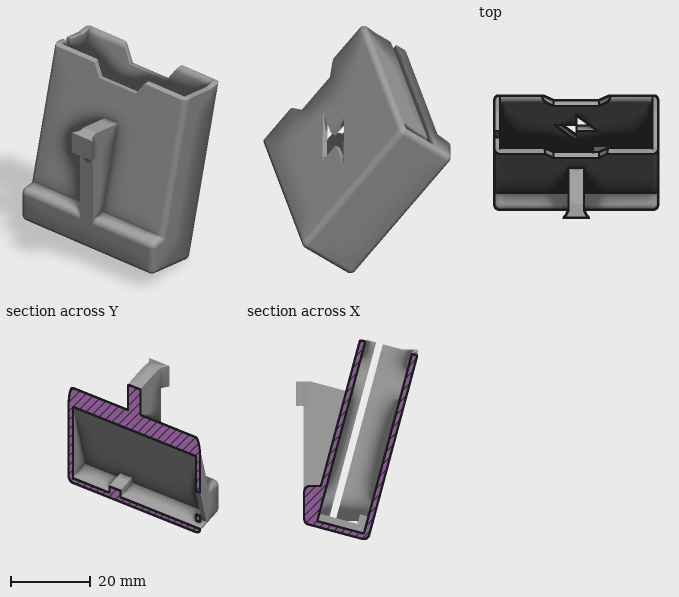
import cadquery as cq
import math

lean_angle = 15.0
width = 41.3
body_depth = 15.0
wall = 1.5
round_radius = 1.5
total_height = 50.05

ledge_height = 13.45
rim_height = 48.6
rear_flat_height = 47.65
rear_limit_y = 28.75
foot_y = 16.05

notch_floor = 44.65
notch_floor_width = 11.4
notch_rim_width = 15.5

rib_width = 4.0
rib_top = 39.65
rib_flat = 1.6
hook_width = 6.4
hook_depth = 1.95
hook_height = 6.15
hook_flare_mid = (2.5, -1.05)

slot_rear = -9.05
slot_front = -10.8
flap_bottom = 3.35
flap_bend = -6.25
flap_rise = (-2.4, 4.3)
flap_rear_height = 3.75

rest_left = 4.25
rest_right = 7.8
rest_height = 3.35
rest_back_height = 5.8
rest_back_front = -3.55

bolt_center = 23.1
bolt_half_width = 5.45
bolt_half_height = 12.35
bolt_step = 2.95

lean = math.radians(lean_angle)
slope = math.tan(lean)
foot_z = round_radius * (1 - math.cos(lean) - math.sin(lean))
margin = 10.0


def leaned(depth, height):
    """World (Y, Z) of a point in the leaning frame; the walls lie along height."""
    y = foot_y + depth * math.cos(lean) + height * math.sin(lean)
    z = foot_z - depth * math.sin(lean) + height * math.cos(lean)
    return y, z


def lean_solid(solid):
    """Move a solid built upright, rear foot edge on the X axis, into place."""
    return solid.rotate((0, 0, 0), (1, 0, 0), -lean_angle).translate((0, foot_y, foot_z))


def across(points, x_start, x_end):
    """Extrude a YZ outline from x_start to x_end."""
    return cq.Workplane("YZ", origin=(x_start, 0, 0)).polyline(points).close().extrude(x_end - x_start)


def through_depth(points, y_front, y_rear):
    """Extrude an XZ outline from y_front to y_rear."""
    return cq.Workplane("XZ", origin=(0, y_rear, 0)).polyline(points).close().extrude(y_rear - y_front)


def upright_box(x_range, y_range, z_range):
    sizes = [high - low for low, high in (x_range, y_range, z_range)]
    box = cq.Workplane("XY").box(*sizes, centered=False)
    return box.translate((x_range[0], y_range[0], z_range[0]))


def front_wall_y(z):
    """Y of the leaning front face at height z."""
    y, base_z = leaned(-body_depth, 0)
    return y + (z - base_z) * slope


def rounded_body():
    """Leaning block with an upright foot ledge, left over-tall for trimming."""
    tall = rim_height + margin
    foot_front = (0, foot_z + foot_y * slope)
    ledge_front = (0, ledge_height)
    ledge_inner = (front_wall_y(ledge_height), ledge_height)
    top_front = leaned(-body_depth, tall)
    top_rear = leaned(0, tall)
    outline = [(foot_y, foot_z), foot_front, ledge_front, ledge_inner, top_front, top_rear]
    body = across(outline, -width / 2, width / 2)
    nook = (ledge_inner[0], ledge_height)

    def is_rounded(edge):
        middle = edge.Center()
        in_nook = math.dist((middle.y, middle.z), nook) < wall / 2
        return middle.z < total_height and not in_nook

    edges = [edge for edge in body.edges().vals() if is_rounded(edge)]
    return body.newObject(edges).fillet(round_radius)


def trim_outline():
    """Side outline of the rim: front flat, leaning run, rear flat and upright rear limit."""
    y_rim, z_rim = leaned(0, rim_height)
    flat_front_y = y_rim - (total_height - z_rim) / slope
    flat_rear_y = y_rim - (rear_flat_height - z_rim) / slope
    return [
        (-margin, -margin),
        (-margin, total_height),
        (flat_front_y, total_height),
        (flat_rear_y, rear_flat_height),
        (rear_limit_y, rear_flat_height),
        (rear_limit_y, -margin),
    ]


def cavity():
    inner = width / 2 - wall
    return lean_solid(upright_box((-inner, inner), (wall - body_depth, -wall), (wall, rim_height + margin)))


def rear_rim_round():
    """Rounding from the rear flat down to the inner rear wall, tangent to both."""
    reach = (rear_limit_y - foot_y) * math.cos(lean) - (rear_flat_height - foot_z) * math.sin(lean)
    radius = (reach + wall) / (1 - math.sin(lean))
    center_z = rear_flat_height - radius
    swept = math.pi / 2 - lean

    def on_arc(angle):
        return rear_limit_y - radius * math.sin(angle), center_z + radius * math.cos(angle)

    inner = width / 2 - wall
    return (
        cq.Workplane("YZ", origin=(-inner, 0, 0))
        .moveTo(rear_limit_y, rear_flat_height)
        .threePointArc(on_arc(swept / 2), on_arc(swept))
        .lineTo(on_arc(swept)[0], rear_flat_height)
        .close()
        .extrude(2 * inner)
    )


def rim_notch():
    """Tapered notch through the front and rear walls."""
    half_floor = notch_floor_width / 2
    half_rim = notch_rim_width / 2
    rim_front_height = (total_height - foot_z - body_depth * math.sin(lean)) / math.cos(lean)
    flank_run = (half_rim - half_floor) / (rim_front_height - notch_floor)
    top = rim_height + margin
    half_top = half_floor + flank_run * (top - notch_floor)
    points = [(-half_floor, notch_floor), (half_floor, notch_floor), (half_top, top), (-half_top, top)]
    return lean_solid(through_depth(points, -body_depth - margin, margin))


def side_slot():
    """Long slot in the -X wall, widening under the free lower edge of the wall."""
    points = [
        (slot_front, wall),
        (slot_front, rim_height + margin),
        (slot_rear, rim_height + margin),
        (slot_rear, flap_bottom),
        (flap_bend, flap_bottom),
        flap_rise,
        (-wall, flap_rear_height),
        (-wall, wall),
    ]
    return lean_solid(across(points, -width / 2 - wall, -width / 2 + wall))


def inner_rest():
    """L-shaped rest on the cavity floor, with a low step against the rear wall."""
    points = [
        (-wall, wall),
        (-wall, rest_back_height),
        (rest_back_front, rest_back_height),
        (rest_back_front, rest_height),
        (wall - body_depth, rest_height),
        (wall - body_depth, wall),
    ]
    return lean_solid(across(points, rest_left, rest_right))


def bolt_window():
    """Lightning-bolt opening through the rear wall."""
    upper = [
        (-bolt_half_width, bolt_center + bolt_step),
        (0, bolt_center + bolt_step),
        (0, bolt_center + bolt_half_height),
    ]
    lower = [(-x, 2 * bolt_center - z) for x, z in upper]
    return lean_solid(through_depth(upper + lower, -1.5 * wall, wall))


def rib():
    """Upright web between the leaning front wall and the hook plane."""
    foot = ledge_height / 2
    embed = wall / 2
    root_y = (front_wall_y(rib_top) + rib_flat * slope**2) / (1 + slope**2) + embed * math.cos(lean)
    root_z = rib_top - (root_y - rib_flat) * slope
    points = [
        (0, foot),
        (0, rib_top),
        (rib_flat, rib_top),
        (root_y, root_z),
        (front_wall_y(foot) + embed, foot),
    ]
    return across(points, -rib_width / 2, rib_width / 2)


def hook():
    """Flared dovetail block at the top of the rib."""
    mid_x, mid_y = hook_flare_mid
    return (
        cq.Workplane("XY", origin=(0, 0, rib_top - hook_height))
        .moveTo(-rib_width / 2, 0)
        .lineTo(rib_width / 2, 0)
        .threePointArc((mid_x, mid_y), (hook_width / 2, -hook_depth))
        .lineTo(-hook_width / 2, -hook_depth)
        .threePointArc((-mid_x, mid_y), (-rib_width / 2, 0))
        .close()
        .extrude(hook_height)
    )


body = rounded_body().intersect(across(trim_outline(), -width, width))
body = body.union(rib()).union(hook())
for opening in (cavity(), rear_rim_round(), rim_notch(), side_slot(), bolt_window()):
    body = body.cut(opening)
result = body.union(inner_rest())